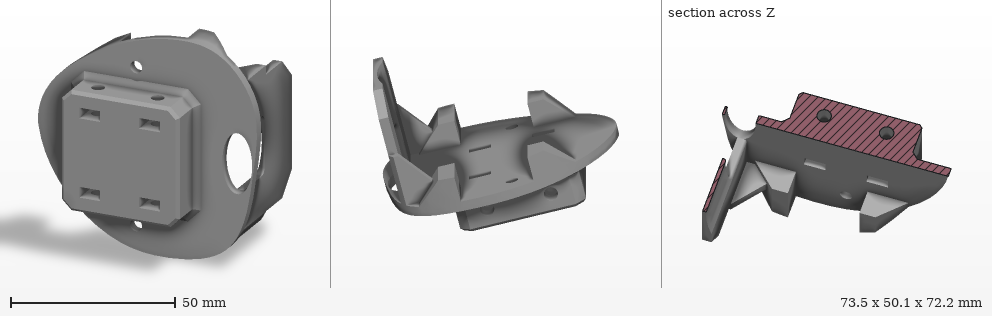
import cadquery as cq
import math

SIDES = (-1, 1)

OUTLINE = [
    (-32.8, 1.6),
    (-26.9, -14.1),
    (-1.55, -33.7),
    (9.85, -34.9),
    (29.65, -29.5),
    (39.4, -1.7),
    (39.4, 19.3),
    (24.95, 35.9),
    (13.3, 37.2),
    (-17.95, 26.0),
    (-30.45, 13.25),
]
PLATE_THICK = 3.1

BOX_WIDTH = 39.6
BOX_DEPTH = 12.0
BOX_CORNER = 3.15
BOX_FLARE = 2.0
BOX_EDGE_CHAMFER = 1.0

TIE_X = 10.0
TIE_Z = 13.0
TIE_SLOT_WIDTH = 7.0
TIE_SLOT_HEIGHT = 3.5
CROSS_HOLE_DIAMETER = 4.3
CROSS_HOLE_FROM_FRONT = 6.0

SCREW_Z = 26.0
SCREW_HOLE_DIAMETER = 4.0
SCREW_HEAD_DIAMETER = 9.0

OVAL_X = 34.0
OVAL_WIDTH = 10.0
OVAL_HEIGHT = 20.0

POST_HEIGHT = 8.0
POST_CENTER_X = 4.55
POST_INNER_X = 11.5
POST_END_WIDTH = 5.1
POST_INNER_Z = 20.45

WALL_X = 31.8
WALL_THICK = 3.0
WALL_WIDTH = 44.95
WALL_REACH = 34.95
WALL_CORNER = 7.1
GUSSET_THICK = 3.0
GUSSET_REACH = 15.95
GUSSET_FOOT = 12.6

HOLLOW_WIDTH = 21.3
HOLLOW_DEPTH = 1.8
WINDOW_WIDTH = 19.6
WINDOW_REACH = 14.9
WINDOW_CORNER = 2.0
WINDOW_EDGE_FILLET = 0.95

WALL_FAR_X = WALL_X + WALL_THICK
WALL_TOP_Y = PLATE_THICK + WALL_REACH


def facing_rear(y):
    """Work plane at depth y. A positive extrusion runs from it toward the front."""
    return cq.Workplane("XZ", origin=(0, y, 0))


def outline_solid(depth):
    """The plate's outline, from the plate's front face to a depth behind it."""
    return facing_rear(depth).spline(OUTLINE, periodic=True).close().extrude(depth)


def octagon(y, offset):
    """Square with cut corners at depth y, moved outward by offset from the box's sides."""
    side = BOX_WIDTH / 2 + offset
    corner = side - BOX_CORNER - offset * (2 - math.sqrt(2))
    quarter = [(side, corner), (corner, side)]
    right = [(x, -z) for x, z in reversed(quarter)] + quarter
    points = right + [(-x, -z) for x, z in right]
    return cq.Wire.makePolygon([cq.Vector(x, y, z) for x, z in points], close=True)


def box():
    """Box with a chamfered front edge and a foot that widens toward the plate."""
    chamfer_y = BOX_EDGE_CHAMFER - BOX_DEPTH
    sections = [
        octagon(-BOX_DEPTH, -BOX_EDGE_CHAMFER),
        octagon(chamfer_y, 0),
        octagon(-BOX_FLARE, 0),
        octagon(0, BOX_FLARE),
    ]
    return cq.Workplane(cq.Solid.makeLoft(sections, True))


def posts():
    """Four posts, reaching past the plate's edge at the top and bottom."""
    end_y = PLATE_THICK + POST_HEIGHT
    end_x = POST_INNER_X + POST_END_WIDTH
    foot_x = end_x + POST_HEIGHT
    profile = [
        (POST_INNER_X, 0),
        (foot_x, 0),
        (foot_x, PLATE_THICK),
        (end_x, end_y),
        (POST_INNER_X, end_y),
    ]
    length = BOX_WIDTH
    shape = cq.Workplane()
    for side_x in SIDES:
        points = [(POST_CENTER_X + side_x * x, y) for x, y in profile]
        for start_z in (POST_INNER_Z, -POST_INNER_Z - length):
            plane = cq.Workplane("XY", origin=(0, 0, start_z))
            shape.add(plane.polyline(points).close().extrude(length))
    return shape.combine()


def gussets():
    """Sloped supports that touch the two sides of the wall."""
    gusset_y = PLATE_THICK + GUSSET_REACH
    profile = [
        (WALL_FAR_X, 0),
        (WALL_X - GUSSET_FOOT, 0),
        (WALL_X - GUSSET_FOOT, PLATE_THICK),
        (WALL_X, gusset_y),
        (WALL_FAR_X, gusset_y),
    ]
    shape = cq.Workplane()
    for start_z in (WALL_WIDTH / 2, -WALL_WIDTH / 2 - GUSSET_THICK):
        plane = cq.Workplane("XY", origin=(0, 0, start_z))
        shape.add(plane.polyline(profile).close().extrude(GUSSET_THICK))
    return shape.combine()


def wall():
    """Wall with cut corners, a curved hollow and a window that starts at the plate."""
    body = (
        cq.Workplane("XY")
        .box(WALL_THICK, WALL_TOP_Y, WALL_WIDTH, centered=(False, False, True))
        .translate((WALL_X, 0, 0))
        .edges(">Y and |X")
        .chamfer(WALL_CORNER)
    )
    hollow = (
        facing_rear(WALL_TOP_Y)
        .moveTo(WALL_X, -HOLLOW_WIDTH / 2)
        .threePointArc((WALL_X + HOLLOW_DEPTH, 0), (WALL_X, HOLLOW_WIDTH / 2))
        .close()
        .extrude(WALL_TOP_Y)
    )
    window_y = PLATE_THICK + WINDOW_REACH
    window = (
        cq.Workplane("XY")
        .box(WALL_THICK, 2 * window_y, WINDOW_WIDTH, centered=(False, True, True))
        .translate((WALL_X, 0, 0))
        .edges("|X")
        .fillet(WINDOW_CORNER)
    )
    body = body.cut(hollow).cut(window)

    margin = WINDOW_EDGE_FILLET / 10
    hollow_rim = cq.selectors.BoxSelector(
        (WALL_X, margin, -WINDOW_WIDTH / 2 - margin),
        (WALL_X + HOLLOW_DEPTH + margin, window_y + margin, WINDOW_WIDTH / 2 + margin),
    )
    return body.edges(hollow_rim).fillet(WINDOW_EDGE_FILLET)


def cut_holes(body):
    """Cut the tie slots, crossing holes, screw holes and oval opening."""
    screw_points = [(0, side * SCREW_Z) for side in SIDES]
    cross_points = [(side * TIE_X, CROSS_HOLE_FROM_FRONT - BOX_DEPTH) for side in SIDES]

    slots = facing_rear(PLATE_THICK).rarray(2 * TIE_X, 2 * TIE_Z, 2, 2)
    slots = slots.rect(TIE_SLOT_WIDTH, TIE_SLOT_HEIGHT)
    cross_holes = cq.Workplane("XY").pushPoints(cross_points).circle(CROSS_HOLE_DIAMETER / 2)
    screws = facing_rear(PLATE_THICK).pushPoints(screw_points).circle(SCREW_HOLE_DIAMETER / 2)
    heads = facing_rear(0).pushPoints(screw_points).circle(SCREW_HEAD_DIAMETER / 2)
    oval = facing_rear(PLATE_THICK).center(OVAL_X, 0).ellipse(OVAL_WIDTH / 2, OVAL_HEIGHT / 2)

    body = body.cut(slots.extrude(PLATE_THICK + BOX_DEPTH))
    body = body.cut(cross_holes.extrude(BOX_WIDTH, both=True))
    body = body.cut(screws.extrude(PLATE_THICK))
    body = body.cut(heads.extrude(BOX_DEPTH))
    return body.cut(oval.extrude(PLATE_THICK))


plate_slab = facing_rear(PLATE_THICK).rect(4 * BOX_WIDTH, 4 * BOX_WIDTH).extrude(PLATE_THICK)
rear_side = plate_slab.union(posts()).union(wall()).union(gussets())
rear_side = rear_side.intersect(outline_solid(WALL_TOP_Y))

result = cut_holes(rear_side.union(box()))